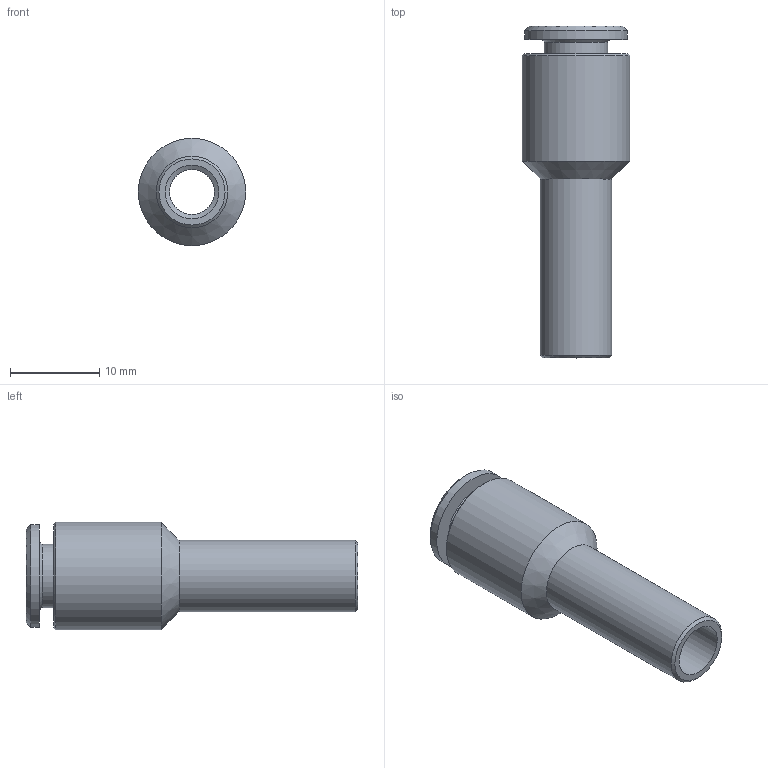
import cadquery as cq
import math

overall_length = 37.1
plug_length = 20.0
shoulder_length = 2.0
body_length = 12.0
collar_length = 1.5
collar_taper_length = 0.3

plug_diameter = 8.0
body_diameter = 12.0
collar_diameter = 11.5
neck_diameter = 7.1
collar_taper_diameter = neck_diameter + 2 * collar_taper_length

plug_chamfer = 0.3
body_chamfer = 0.2
collar_chamfer = 0.5

plug_bore_diameter = 6.0
through_bore_diameter = 5.0
bore_cone_angle = 120.0
bore_step = (plug_bore_diameter - through_bore_diameter) / 2
bore_cone_length = bore_step / math.tan(math.radians(bore_cone_angle / 2))

plug_end_y = -overall_length / 2
shoulder_start_y = plug_end_y + plug_length
body_start_y = shoulder_start_y + shoulder_length
body_end_y = body_start_y + body_length
collar_end_y = overall_length / 2
collar_start_y = collar_end_y - collar_length


def make_fitting():
    """Revolve the hollow half profile around the Y axis."""
    plug_radius = plug_diameter / 2
    body_radius = body_diameter / 2
    collar_radius = collar_diameter / 2
    neck_radius = neck_diameter / 2
    profile = [
        (plug_end_y, plug_bore_diameter / 2),
        (plug_end_y, plug_radius - plug_chamfer),
        (plug_end_y + plug_chamfer, plug_radius),
        (shoulder_start_y, plug_radius),
        (body_start_y, body_radius),
        (body_end_y - body_chamfer, body_radius),
        (body_end_y, body_radius - body_chamfer),
        (body_end_y, neck_radius),
        (collar_start_y - collar_taper_length, neck_radius),
        (collar_start_y, collar_taper_diameter / 2),
        (collar_start_y, collar_radius),
        (collar_end_y - collar_chamfer, collar_radius),
        (collar_end_y, collar_radius - collar_chamfer),
        (collar_end_y, through_bore_diameter / 2),
        (shoulder_start_y + bore_cone_length, through_bore_diameter / 2),
        (shoulder_start_y, plug_bore_diameter / 2),
    ]
    half_section = cq.Workplane("YZ").polyline(profile).close()
    return half_section.revolve(360, (0, 0, 0), (1, 0, 0))


result = make_fitting()